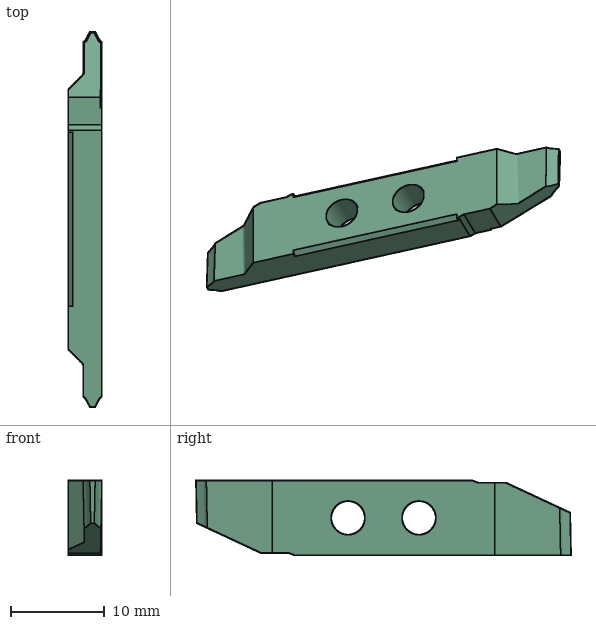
import cadquery as cq
import math

length = 40.0
width = 3.6
height = 8.0
half_length = length / 2
half_width = width / 2
half_height = height / 2

step_start = 9.5
step_end = 10.1
step_height = 0.25
slope_start = 13.05
slope_angle = 25.0

shoulder_start = 13.85
neck_width = 2.0
neck_blend_radius = 0.4
tip_length = 1.1
tip_width = 0.55
tip_chamfer = 0.3
side_relief = 0.15
end_relief = 0.15
relief_start = 11.9

hole_diameter = 3.55
hole_spacing = 7.55
bevel_length = 18.55
bevel_size = 0.5

neck_left = half_width - neck_width
neck_center = half_width - neck_width / 2


def make_body():
    """Side outline with a sloping underside at -Y and its half-turn copy at +Y."""
    step_level = half_height - step_height
    slope_rise = (half_length - slope_start) * math.tan(math.radians(slope_angle))
    lower_end = [
        (-step_start, -half_height),
        (-step_end, -step_level),
        (-slope_start, -step_level),
        (-half_length, -step_level + slope_rise),
        (-half_length, half_height),
    ]
    upper_end = [(-y, -z) for y, z in lower_end]
    outline = cq.Workplane("YZ").polyline(lower_end + upper_end).close()
    return outline.extrude(half_width, both=True)


def end_wire(side_inset, end_inset, z):
    """Plan outline of the -Y end, with its cutting edges moved inward."""
    left = neck_left + side_inset
    right = half_width - side_inset
    end = -half_length + end_inset
    tip_shoulder = end + tip_length
    tip_half = tip_width / 2 - side_inset

    corner = -shoulder_start - (left + half_width)
    tangent = neck_blend_radius * math.tan(math.pi / 8)
    diagonal = tangent * math.sqrt(0.5)
    arc_center_x = left - neck_blend_radius
    arc_center_y = corner - tangent
    arc_middle = (
        arc_center_x + neck_blend_radius * math.cos(math.pi / 8),
        arc_center_y + neck_blend_radius * math.sin(math.pi / 8),
    )
    outline = (
        cq.Workplane("XY", origin=(0, 0, z))
        .moveTo(-half_width, -relief_start)
        .lineTo(-half_width, -shoulder_start)
        .lineTo(left - diagonal, corner + diagonal)
        .threePointArc(arc_middle, (left, arc_center_y))
        .lineTo(left, tip_shoulder)
        .lineTo(left + tip_chamfer, tip_shoulder - tip_chamfer)
        .lineTo(neck_center - tip_half, end)
        .lineTo(neck_center + tip_half, end)
        .lineTo(right - tip_chamfer, tip_shoulder - tip_chamfer)
        .lineTo(right, tip_shoulder)
        .lineTo(right, -relief_start)
        .close()
    )
    return outline.val()


def make_end():
    """Cutting end, full size at the top and relieved toward the bottom."""
    top = end_wire(0, 0, half_height)
    bottom = end_wire(side_relief, end_relief, -half_height)
    return cq.Workplane(cq.Solid.makeLoft([bottom, top], True))


def make_bevel_cutter():
    """Triangular bar that bevels the upper edge on the -X side."""
    return (
        cq.Workplane("XZ")
        .moveTo(-half_width, half_height)
        .lineTo(-half_width + bevel_size, half_height)
        .lineTo(-half_width, half_height - bevel_size)
        .close()
        .extrude(bevel_length / 2, both=True)
    )


def half_turn(shape):
    return shape.rotate((0, 0, 0), (1, 0, 0), 180)


front_end = make_end()
middle = cq.Workplane("XY").box(width, 2 * relief_start, height)
plan_limits = middle.union(front_end).union(half_turn(front_end))

holes = (
    cq.Workplane("YZ", origin=(-half_width, 0, 0))
    .rarray(hole_spacing, 0.4, 2, 1)
    .circle(hole_diameter / 2)
    .extrude(width)
)
bevel = make_bevel_cutter()

result = make_body().intersect(plan_limits).cut(holes).cut(bevel).cut(half_turn(bevel))